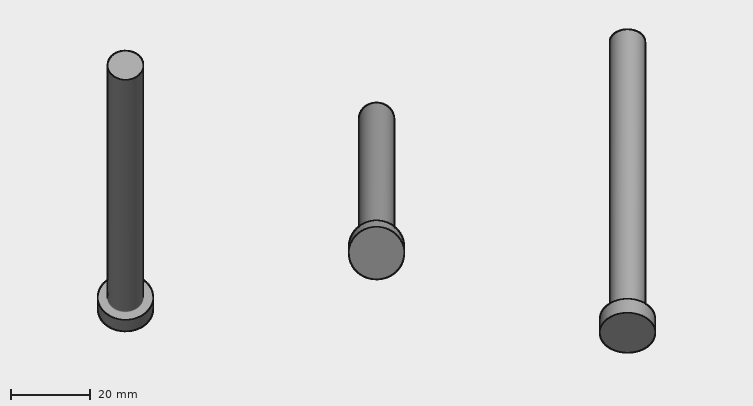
import cadquery as cq

total_length = 105.0
head_diameter = 14.0
head_height = 5.0
shank_diameter = 9.0
root_fillet = 0.2

shank_length = total_length - head_height

head = cq.Workplane("XY").circle(head_diameter / 2).extrude(head_height)

pin = head.faces(">Z").workplane().circle(shank_diameter / 2).extrude(shank_length)

shoulder = pin.faces(cq.selectors.NearestToPointSelector((0, 0, head_height)))
result = shoulder.edges(cq.selectors.RadiusNthSelector(0)).fillet(root_fillet)